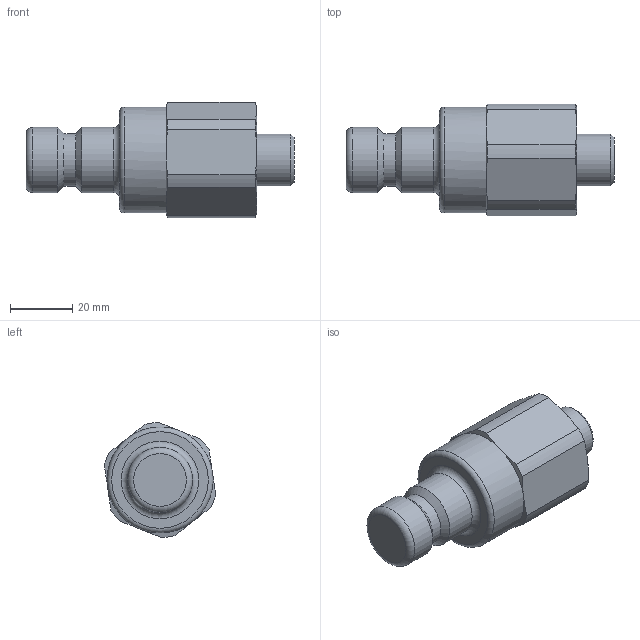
import cadquery as cq
import math

GROOVE_START = 12.15
GROOVE_END = 15.9
COLLAR_START = 30.0
HEX_START = 45.0
HEX_END = 74.0
TOTAL_LENGTH = 86.0

PLUG_DIAMETER = 20.9
GROOVE_DIAMETER = 16.8
COLLAR_DIAMETER = 34.0
SPIGOT_DIAMETER = 16.66

HEX_ACROSS_FLATS = 34.0
HEX_CORNER_DIAMETER = 37.0
HEX_ROTATION = 8.35
HALF_FACET_ANGLE = 30.0
HEX_CHAMFER_LENGTH = 0.4
HEX_CHAMFER_DEPTH = 1.5

TIP_RADIUS = 2.0
ROOT_RADIUS = 2.0
COLLAR_RADIUS = 1.5
SPIGOT_CHAMFER = 1.0


def revolve_about_x(profile):
    """Revolve a profile drawn as (x, radius) around the X axis."""
    return profile.close().revolve(360, (0, 0, 0), (1, 0, 0))


def turned_body():
    """Plug, locking groove and collar, up to the start of the hexagon."""
    plug = PLUG_DIAMETER / 2
    groove = GROOVE_DIAMETER / 2
    collar = COLLAR_DIAMETER / 2
    groove_depth = plug - groove
    arc_inset = 1 - math.sqrt(0.5)
    tip_inset = TIP_RADIUS * arc_inset
    root_inset = ROOT_RADIUS * arc_inset
    collar_inset = COLLAR_RADIUS * arc_inset

    profile = (
        cq.Workplane("XY")
        .lineTo(0, plug - TIP_RADIUS)
        .threePointArc((tip_inset, plug - tip_inset), (TIP_RADIUS, plug))
        .lineTo(GROOVE_START - groove_depth, plug)
        .lineTo(GROOVE_START, groove)
        .lineTo(GROOVE_END, groove)
        .lineTo(GROOVE_END + groove_depth, plug)
        .lineTo(COLLAR_START - ROOT_RADIUS, plug)
        .threePointArc((COLLAR_START - root_inset, plug + root_inset), (COLLAR_START, plug + ROOT_RADIUS))
        .lineTo(COLLAR_START, collar - COLLAR_RADIUS)
        .threePointArc(
            (COLLAR_START + collar_inset, collar - collar_inset),
            (COLLAR_START + COLLAR_RADIUS, collar),
        )
        .lineTo(HEX_START, collar)
        .lineTo(HEX_START, 0)
    )
    return revolve_about_x(profile)


def hexagon():
    """Hexagonal wrench section with cylindrical corners and chamfered ends."""
    prism = (
        cq.Workplane("YZ", origin=(HEX_START, 0, 0))
        .polygon(6, HEX_ACROSS_FLATS / math.cos(math.radians(HALF_FACET_ANGLE)))
        .extrude(HEX_END - HEX_START)
        .rotate((0, 0, 0), (1, 0, 0), HALF_FACET_ANGLE - HEX_ROTATION)
    )
    corner = HEX_CORNER_DIAMETER / 2
    end = corner - HEX_CHAMFER_DEPTH
    envelope = revolve_about_x(
        cq.Workplane("XY")
        .moveTo(HEX_START, 0)
        .lineTo(HEX_START, end)
        .lineTo(HEX_START + HEX_CHAMFER_LENGTH, corner)
        .lineTo(HEX_END - HEX_CHAMFER_LENGTH, corner)
        .lineTo(HEX_END, end)
        .lineTo(HEX_END, 0)
    )
    return prism.intersect(envelope)


def spigot():
    """Plain cylindrical end with a chamfered rim."""
    return (
        cq.Workplane("YZ", origin=(HEX_END, 0, 0))
        .circle(SPIGOT_DIAMETER / 2)
        .extrude(TOTAL_LENGTH - HEX_END)
        .faces(">X")
        .chamfer(SPIGOT_CHAMFER)
    )


result = turned_body().union(hexagon()).union(spigot())